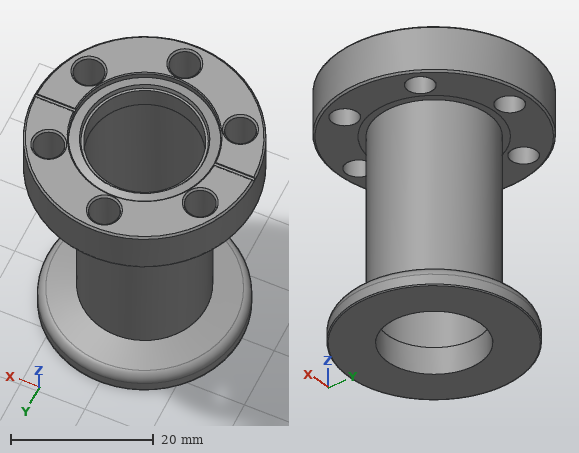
import cadquery as cq
import math

total_height = 41.9

ring_radius = 17.0
ring_thickness = 7.6
ring_chamfer = 0.3
ring_bore_radius = 10.7
rim_chamfer = 0.15
bolt_count = 6
bolt_circle_radius = 13.5
first_bolt_angle = 90.0
bolt_hole_radius = 2.2
countersink_width = 0.3
countersink_angle = 90.0
groove_width = 0.5
groove_depth = 0.2

tube_outer_radius = 9.55
tube_inner_radius = 8.55

seat_depth = 1.1
crest_radius = 9.15
crest_depth = 0.55
floor_radius = 8.92
floor_depth = 1.17
socket_depth = 4.75

clamp_radius = 15.05
clamp_bore_radius = 8.2
clamp_rim_height = 1.8
clamp_height = 4.45
clamp_slope_angle = 15.0
clamp_fillet = 1.6
clamp_base_chamfer = 0.15

ring_bottom = total_height - ring_thickness
tube_top = total_height - socket_depth


def revolve_profile(profile):
    """Close an (r, z) outline drawn in the XZ plane and turn it about the Z axis."""
    return profile.close().revolve(360, (0, 0, 0), (0, 1, 0))


def make_bolt_ring():
    """Ring with chamfered edges, countersunk bolt holes and two leak-check grooves."""
    ring = revolve_profile(
        cq.Workplane("XZ")
        .moveTo(ring_bore_radius, ring_bottom)
        .lineTo(ring_radius - ring_chamfer, ring_bottom)
        .lineTo(ring_radius, ring_bottom + ring_chamfer)
        .lineTo(ring_radius, total_height - ring_chamfer)
        .lineTo(ring_radius - ring_chamfer, total_height)
        .lineTo(ring_bore_radius + rim_chamfer, total_height)
        .lineTo(ring_bore_radius, total_height - rim_chamfer)
    )

    hole_diameter = 2 * bolt_hole_radius
    countersink_diameter = hole_diameter + 2 * countersink_width
    ring = (
        ring.faces(">Z")
        .workplane(origin=(0, 0, total_height))
        .polarArray(bolt_circle_radius, first_bolt_angle, 360, bolt_count)
        .cskHole(hole_diameter, countersink_diameter, countersink_angle)
    )

    groove_bar = (
        cq.Workplane("XY")
        .workplane(offset=total_height - groove_depth)
        .rect(2 * ring_radius, groove_width)
        .extrude(groove_depth)
    )
    return ring.cut(groove_bar)


def make_hub():
    """Insert with a sloped seat rising to a knife edge, and a socket for the tube below."""
    return revolve_profile(
        cq.Workplane("XZ")
        .moveTo(ring_bore_radius, ring_bottom)
        .lineTo(ring_bore_radius, total_height - seat_depth)
        .lineTo(crest_radius, total_height - crest_depth)
        .lineTo(floor_radius, total_height - floor_depth)
        .lineTo(tube_inner_radius, total_height - floor_depth)
        .lineTo(tube_inner_radius, tube_top)
        .lineTo(tube_outer_radius, tube_top)
        .lineTo(tube_outer_radius, ring_bottom)
    )


def make_tube():
    """Plain tube standing on the clamp flange and seated in the hub socket."""
    return (
        cq.Workplane("XY")
        .workplane(offset=clamp_height)
        .circle(tube_outer_radius)
        .circle(tube_inner_radius)
        .extrude(tube_top - clamp_height)
    )


def clamp_fillet_point(angle):
    """Point (r, z) on the rim fillet, at an angle in radians tilted outward from +Z."""
    return (
        clamp_radius - clamp_fillet + clamp_fillet * math.sin(angle),
        clamp_rim_height + clamp_fillet * math.cos(angle),
    )


def make_clamp_flange():
    """Flange whose sloped upper side rolls over into a straight rim."""
    start_angle = math.radians(clamp_slope_angle)
    end_angle = math.pi / 2
    middle_angle = (start_angle + end_angle) / 2
    return revolve_profile(
        cq.Workplane("XZ")
        .moveTo(clamp_bore_radius, 0)
        .lineTo(clamp_bore_radius, clamp_height)
        .lineTo(tube_outer_radius, clamp_height)
        .lineTo(*clamp_fillet_point(start_angle))
        .threePointArc(clamp_fillet_point(middle_angle), clamp_fillet_point(end_angle))
        .lineTo(clamp_radius, clamp_base_chamfer)
        .lineTo(clamp_radius - clamp_base_chamfer, 0)
    )


bolt_ring = make_bolt_ring()
hub = make_hub()
tube = make_tube()
clamp_flange = make_clamp_flange()

result = cq.Compound.makeCompound([bolt_ring.val(), hub.val(), tube.val(), clamp_flange.val()])